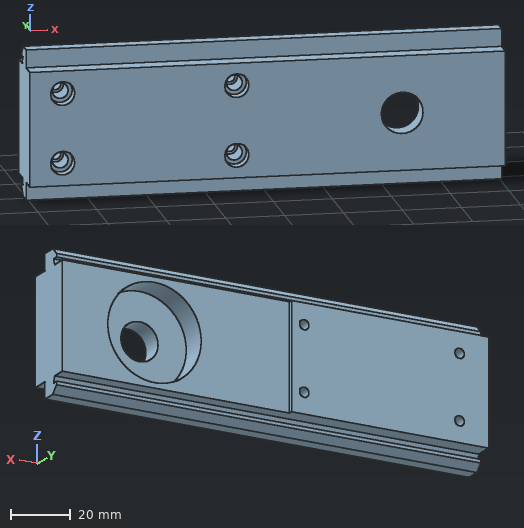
import cadquery as cq

length = 161.5
depth = 20.3
height = 51.7
body_height = 39.4

rail_front = 6.6
rail_flat_back = 12.3
lip_back = 14.9
lip_bevel_height = 2.6
lip_edge_height = 1.3
neck_back = 12.8
neck_root_back = 13.5

step_start = 75.1
step_depth = 1.5

screw_x = (11.1, 70.3)
screw_z = 12.0
screw_bore_diameter = 8.0
screw_bore_depth = 4.4
screw_middle_diameter = 5.3
screw_middle_depth = 13.0
screw_through_diameter = 3.5

large_hole_x = 126.5
large_hole_diameter = 14.0
back_recess_diameter = 35.5
back_recess_depth = 10.3


def make_bar():
    """Extrude the end profile, whose lower half mirrors its upper half."""
    top = height / 2
    body_top = body_height / 2
    lip_top = top - lip_bevel_height
    lip_bottom = lip_top - lip_edge_height
    upper = [
        (0, body_top),
        (rail_front, body_top),
        (rail_front, top),
        (rail_flat_back, top),
        (lip_back, lip_top),
        (lip_back, lip_bottom),
        (neck_back, lip_bottom),
        (neck_root_back, body_top),
        (depth, body_top),
    ]
    lower = [(y, -z) for y, z in reversed(upper)]
    return cq.Workplane("YZ").polyline(upper + lower).close().extrude(length)


def front_hole(x, z, diameter, hole_depth):
    """Cylinder running back from the front face."""
    start = cq.Vector(x, 0, z)
    return cq.Workplane(cq.Solid.makeCylinder(diameter / 2, hole_depth, start, cq.Vector(0, 1, 0)))


def cut_step(bar):
    relief = cq.Workplane("XY").box(length - step_start, step_depth, height, centered=(False, False, True))
    return bar.cut(relief.translate((step_start, depth - step_depth, 0)))


def cut_screw_holes(bar):
    sections = (
        (screw_bore_diameter, screw_bore_depth),
        (screw_middle_diameter, screw_middle_depth),
        (screw_through_diameter, depth),
    )
    for x in screw_x:
        for z in (-screw_z, screw_z):
            for diameter, section_depth in sections:
                bar = bar.cut(front_hole(x, z, diameter, section_depth))
    return bar


def cut_large_hole(bar):
    """Through hole with a wide round recess sunk into the stepped-down back face."""
    recess_floor = depth - step_depth - back_recess_depth
    recess = front_hole(large_hole_x, 0, back_recess_diameter, depth)
    recess = recess.translate((0, recess_floor, 0))
    return bar.cut(front_hole(large_hole_x, 0, large_hole_diameter, depth)).cut(recess)


result = make_bar()
result = cut_step(result)
result = cut_screw_holes(result)
result = cut_large_hole(result)